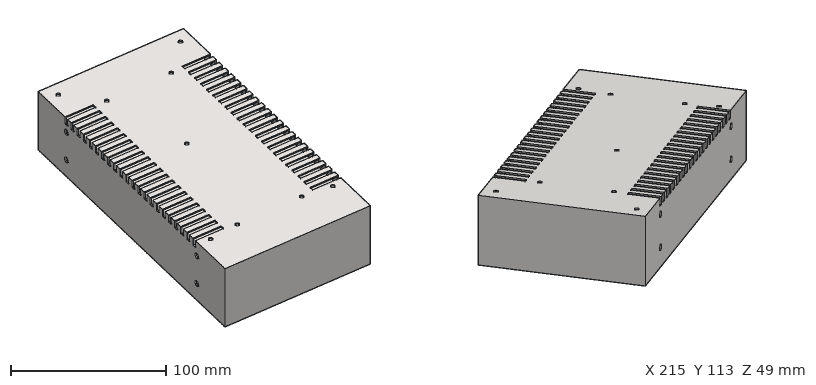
import cadquery as cq

length = 215.0
width = 113.0
height = 49.0
sheet = 1.0

shelf_top_z = 42.0
partition_x = 83.8

slot_count = 22
slot_row_span = 147.0
slot_width = 3.0
slot_reach = 22.0
slot_drop = 5.5
slot_pitch = slot_row_span / (slot_count - 1)

side_hole_diameter = 4.0
side_hole_spacing = 150.0
upper_side_hole_z = 37.2
lower_side_hole_z = 14.0

roof_hole_diameter = 3.0
inner_hole_spacing_y = 50.0
corner_hole_spacing_y = 95.0
left_corner_hole_x = -97.6
right_corner_hole_x = 77.6
single_hole_x = -10.5
single_hole_y = -6.5

side_hole_xs = (-side_hole_spacing / 2, side_hole_spacing / 2)
first_slot_x = side_hole_xs[0]


def make_chamber(x_start, x_end, z_start, z_end):
    """Empty space between the long side walls, within the given X and Z limits."""
    return cq.Workplane("XY", origin=((x_start + x_end) / 2, 0, z_start)).box(
        x_end - x_start, width - 2 * sheet, z_end - z_start, centered=(True, True, False)
    )


def make_case():
    """Block hollowed by three chambers, which leaves the walls, shelf and partition."""
    x_inside = length / 2 - sheet
    shelf_bottom_z = shelf_top_z - sheet
    block = cq.Workplane("XY").box(length, width, height, centered=(True, True, False))
    return (
        block.cut(make_chamber(-x_inside, x_inside, shelf_top_z, height - sheet))
        .cut(make_chamber(-x_inside, partition_x, sheet, shelf_bottom_z))
        .cut(make_chamber(partition_x + sheet, x_inside, sheet, shelf_bottom_z))
    )


def make_slots():
    """Slots that open the roof and the top of the wall along both long edges."""
    slot_y = (width - slot_reach) / 2
    slot_xs = [first_slot_x + i * slot_pitch for i in range(slot_count)]
    centers = [(x, y) for x in slot_xs for y in (-slot_y, slot_y)]
    return (
        cq.Workplane("XY", origin=(0, 0, height - slot_drop))
        .pushPoints(centers)
        .rect(slot_width, slot_reach)
        .extrude(slot_drop)
    )


def mirrored_pairs(xs, spacing_y):
    """Points at each X, half the spacing to either side of the X axis."""
    return [(x, side * spacing_y / 2) for x in xs for side in (-1, 1)]


def make_roof_holes():
    """Two four-hole patterns and a single hole, all through the roof only."""
    corner_xs = (left_corner_hole_x, right_corner_hole_x)
    centers = mirrored_pairs(side_hole_xs, inner_hole_spacing_y)
    centers += mirrored_pairs(corner_xs, corner_hole_spacing_y)
    centers.append((single_hole_x, single_hole_y))
    return (
        cq.Workplane("XY", origin=(0, 0, height - sheet))
        .pushPoints(centers)
        .circle(roof_hole_diameter / 2)
        .extrude(sheet)
    )


def make_side_holes(z, depth):
    """A pair of holes that starts at the -Y face and runs inward to the given depth."""
    return (
        cq.Workplane("XZ", origin=(0, -width / 2, z))
        .pushPoints([(x, 0) for x in side_hole_xs])
        .circle(side_hole_diameter / 2)
        .extrude(-depth)
    )


result = (
    make_case()
    .cut(make_slots())
    .cut(make_roof_holes())
    .cut(make_side_holes(upper_side_hole_z, width))
    .cut(make_side_holes(lower_side_hole_z, sheet))
)